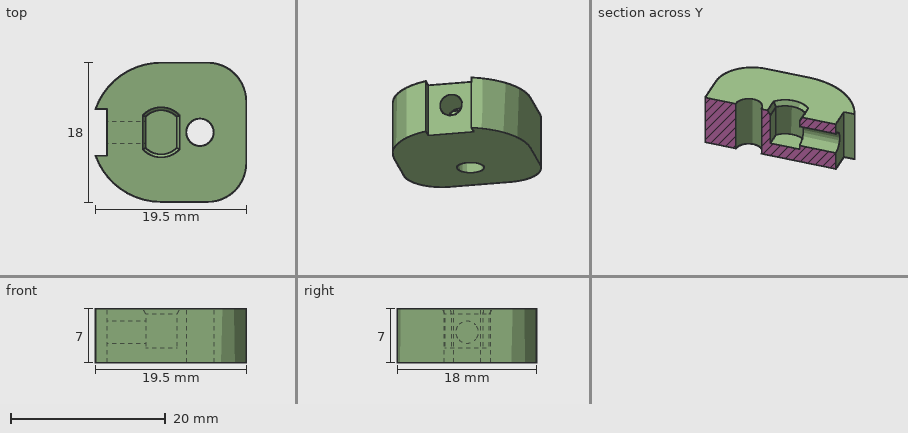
import cadquery as cq
import math

height = 7.0
nose_radius = 9.0
corner_radius = 5.0
tip_half_gap = 3.0
tip_x = -math.sqrt(nose_radius**2 - tip_half_gap**2)
end_x = tip_x + 19.49
corner_start_x = end_x - corner_radius
corner_end_y = nose_radius - corner_radius
corner_mid_offset = corner_radius * math.sqrt(0.5)
notch_floor_x = -7.0

shaft_diameter = 5.7
shaft_flats = 4.0
lead_in_width = 0.39
lead_in_depth = 0.68
pocket_depth = 5.0
pocket_floor_z = height - pocket_depth

pin_x = 5.0
pin_diameter = 3.5
screw_diameter = 2.88
screw_z = 4.0


def block():
    nose_mid = nose_radius * math.sqrt(0.5)
    corner_mid_x = corner_start_x + corner_mid_offset
    corner_mid_y = corner_end_y + corner_mid_offset
    return (
        cq.Workplane("XY")
        .moveTo(notch_floor_x, -tip_half_gap)
        .lineTo(tip_x, -tip_half_gap)
        .threePointArc((-nose_mid, -nose_mid), (0, -nose_radius))
        .lineTo(corner_start_x, -nose_radius)
        .threePointArc((corner_mid_x, -corner_mid_y), (end_x, -corner_end_y))
        .lineTo(end_x, corner_end_y)
        .threePointArc((corner_mid_x, corner_mid_y), (corner_start_x, nose_radius))
        .lineTo(0, nose_radius)
        .threePointArc((-nose_mid, nose_mid), (tip_x, tip_half_gap))
        .lineTo(notch_floor_x, tip_half_gap)
        .close()
        .extrude(height)
    )


def shaft_pocket():
    """Cylinder with two flats facing X, flared by a sloped lead-in at the top."""
    radius = shaft_diameter / 2
    straight = cq.Workplane("XY").circle(radius).extrude(pocket_depth)
    flats = cq.Workplane("XY").rect(shaft_flats, shaft_diameter).extrude(pocket_depth)
    cone = cq.Workplane(cq.Solid.makeCone(radius, radius + lead_in_width, lead_in_depth))
    half_flats = shaft_flats / 2
    wedge = (
        cq.Workplane("XZ")
        .moveTo(-half_flats, 0)
        .lineTo(half_flats, 0)
        .lineTo(half_flats + lead_in_width, lead_in_depth)
        .lineTo(-half_flats - lead_in_width, lead_in_depth)
        .close()
        .extrude(radius + lead_in_width, both=True)
    )
    flare = cone.intersect(wedge).translate((0, 0, pocket_depth - lead_in_depth))
    return straight.intersect(flats).union(flare).translate((0, 0, pocket_floor_z))


def pin_hole():
    return cq.Workplane("XY").center(pin_x, 0).circle(pin_diameter / 2).extrude(height)


def screw_hole():
    """Hole from the notch floor into the shaft pocket."""
    return (
        cq.Workplane("YZ", origin=(notch_floor_x, 0, screw_z))
        .circle(screw_diameter / 2)
        .extrude(-notch_floor_x)
    )


result = block().cut(shaft_pocket()).cut(pin_hole()).cut(screw_hole())